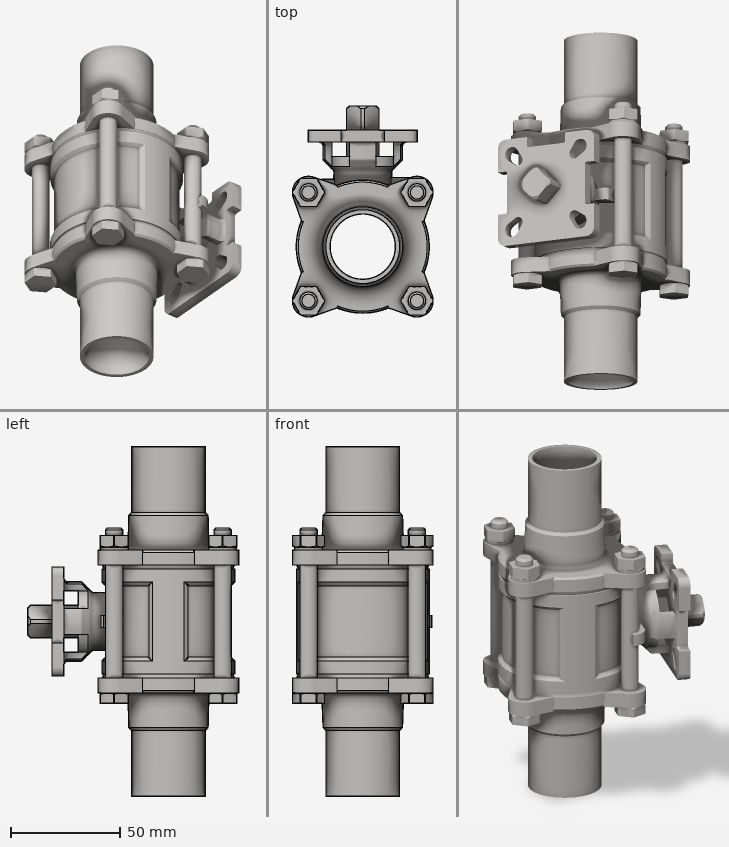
import cadquery as cq
import math


length = 160.0
flange_width = 64.5
total_depth = 96.6

bore_dia = 29.8
pipe_dia = 33.8
hub_end_radius = 18.2
hub_root_radius = 18.7
hub_end_z = 50.0
hub_chamfer = 1.5
hub_fillet = 2.0

flange_inner_z = 25.8
flange_outer_z = 32.6
flange_radius = 61.0 / 2
flange_chamfer = 1.0
lobe_offset = 24.8
lobe_radius = flange_width / 2 - lobe_offset
waist_half_width = 11.8

body_radius = flange_radius
body_half_height = 24.0
collar_end_radius = 29.6
collar_root_radius = 30.2
pocket_depth = 1.8
pocket_half_height = 18.0
rib_half_width = 7.2

bolt_dia = 8.0
bolt_tip_z = 42.9
bolt_tip_chamfer = 1.0
washer_dia = 13.0
washer_thickness = 1.3
hex_flats = 13.0
hex_turned_dia = 14.7
nut_height = 5.5
head_height = 4.8
hex_chamfer_height = 0.6
hex_chamfer_width = 1.3

neck_radius = 13.3
neck_top = 34.7
neck_fillet = 1.5
shoulder_fillet = 1.3
bracket_radius = 18.2
gland_radius = 30.5 / 2
gland_top = 41.3
arm_width = 12.0
arm_fillet = 2.0

plate_bottom = 47.8
plate_top = 53.3
plate_width = 50.0
plate_corner_radius = 4.0
notch_half_width = 10.0
notch_depth = 4.8
notch_fillet = 1.0
slot_inner_radius = 20.6
slot_inner_dia = 5.0
slot_outer_radius = 25.0
slot_outer_dia = 6.9

stem_tip = total_depth - flange_width / 2
stem_flats = 11.8
stem_dia = 15.0
stem_chamfer = 1.3

finger_half_height = 2.7
finger_tip_radius = 6.9
short_finger_reach = 19.8
short_finger_base = 16.0
short_finger_top = 30.9
short_finger_chamfer = 1.3


def cylinder(radius, z_low, z_high):
    """Upright cylinder on the pipe axis."""
    return cq.Workplane("XY").workplane(offset=z_low).circle(radius).extrude(z_high - z_low)


def both_ends(shape):
    """A shape together with its mirror image below the mid-plane."""
    return shape.union(shape.mirror("XY"))


def stem_workplane(y_low, y_high):
    """Workplane square to the stem axis at y_low, and the height from there to y_high."""
    plane = cq.Plane(origin=(0, y_low, 0), xDir=(1, 0, 0), normal=(0, 1, 0))
    return cq.Workplane(plane), y_high - y_low


def pipe_end():
    """Upper welding pipe with its tapered hub, filleted onto the flange."""
    pipe_radius = pipe_dia / 2
    fillet_top = flange_outer_z + hub_fillet
    fillet_edge = hub_root_radius + hub_fillet
    mid_shift = hub_fillet * (1 - math.sqrt(0.5))
    return (
        cq.Workplane("XZ")
        .moveTo(0, flange_inner_z)
        .lineTo(fillet_edge, flange_inner_z)
        .lineTo(fillet_edge, flange_outer_z)
        .threePointArc(
            (hub_root_radius + mid_shift, flange_outer_z + mid_shift),
            (hub_root_radius, fillet_top),
        )
        .lineTo(hub_end_radius, hub_end_z - hub_chamfer)
        .lineTo(pipe_radius, hub_end_z)
        .lineTo(pipe_radius, length / 2)
        .lineTo(0, length / 2)
        .close()
        .revolve(360, (0, 0, 0), (0, 1, 0))
    )


def flange():
    """Upper flange: a round disc with a tangent-sided lobe for each bolt."""
    thickness = flange_outer_z - flange_inner_z
    disc = cylinder(flange_radius, flange_inner_z, flange_outer_z).faces(">Z").chamfer(flange_chamfer)

    waist_y = math.sqrt(flange_radius**2 - waist_half_width**2)
    reach_x = lobe_offset - waist_half_width
    reach_y = lobe_offset - waist_y
    reach = math.hypot(reach_x, reach_y)
    tangent_angle = math.atan2(reach_y, reach_x) + math.asin(lobe_radius / reach)
    tangent_x = lobe_offset - lobe_radius * math.sin(tangent_angle)
    tangent_y = lobe_offset + lobe_radius * math.cos(tangent_angle)
    far = lobe_offset + lobe_radius * math.sqrt(0.5)
    lobe = (
        cq.Workplane("XY", origin=(0, 0, flange_inner_z))
        .moveTo(0, 0)
        .lineTo(waist_half_width, waist_y)
        .lineTo(tangent_x, tangent_y)
        .threePointArc((far, far), (tangent_y, tangent_x))
        .lineTo(waist_y, waist_half_width)
        .close()
        .extrude(thickness)
    )
    for quarter in range(4):
        disc = disc.union(lobe.rotate((0, 0, 0), (0, 0, 1), 90 * quarter))
    return disc


def collar():
    """Conical spigot between the body and the upper flange."""
    return (
        cq.Workplane("XZ")
        .moveTo(0, pocket_half_height)
        .lineTo(body_radius - 2 * pocket_depth, pocket_half_height)
        .lineTo(collar_end_radius, body_half_height - pocket_depth)
        .lineTo(collar_end_radius, body_half_height)
        .lineTo(collar_root_radius, flange_inner_z)
        .lineTo(0, flange_inner_z)
        .close()
        .revolve(360, (0, 0, 0), (0, 1, 0))
    )


def body():
    """Round body with bevelled pockets on the +Y and -Y sides."""
    floor_half_height = pocket_half_height - pocket_depth
    ring = (
        cq.Workplane("XZ")
        .moveTo(body_radius - pocket_depth, -floor_half_height)
        .lineTo(body_radius, -pocket_half_height)
        .lineTo(body_radius + pocket_depth, -pocket_half_height)
        .lineTo(body_radius + pocket_depth, pocket_half_height)
        .lineTo(body_radius, pocket_half_height)
        .lineTo(body_radius - pocket_depth, floor_half_height)
        .close()
        .revolve(360, (0, 0, 0), (0, 1, 0))
    )
    outer_x = math.sqrt(body_radius**2 - rib_half_width**2)
    inner_x = outer_x - pocket_depth
    inner_y = rib_half_width + pocket_depth
    past = body_radius + 2 * pocket_depth
    rib = (
        cq.Workplane("XY", origin=(0, 0, -pocket_half_height))
        .polyline([
            (inner_x, -inner_y),
            (outer_x, -rib_half_width),
            (past, -rib_half_width),
            (past, rib_half_width),
            (outer_x, rib_half_width),
            (inner_x, inner_y),
        ])
        .close()
        .extrude(2 * pocket_half_height)
    )
    pockets = ring.cut(rib).cut(rib.mirror("YZ"))
    return cylinder(body_radius, -body_half_height, body_half_height).cut(pockets)


def hexagon(z_low, z_high):
    """Hexagonal prism with its corners turned down at the lower face."""
    corner_radius = hex_flats / math.sqrt(3)
    height = z_high - z_low
    prism = cq.Workplane("XY", origin=(0, 0, z_low)).polygon(6, 2 * corner_radius).extrude(height)
    turned = (
        cq.Workplane("XY", origin=(0, 0, z_low))
        .circle(hex_turned_dia / 2)
        .extrude(height)
        .faces("<Z")
        .chamfer(hex_chamfer_height, hex_chamfer_width)
    )
    return prism.intersect(turned)


def tie_bolt():
    """Bolt with its head below, and a washer and nut above."""
    washer_top = flange_outer_z + washer_thickness
    shank = cylinder(bolt_dia / 2, -flange_outer_z, bolt_tip_z).faces(">Z").chamfer(bolt_tip_chamfer)
    head = hexagon(flange_outer_z, flange_outer_z + head_height).mirror("XY")
    washer = cylinder(washer_dia / 2, flange_outer_z, washer_top)
    nut = hexagon(washer_top, washer_top + nut_height)
    return shank.union(head).union(washer).union(nut)


def bracket():
    """Neck flaring into a cup whose wall is cut down to four arms around the gland."""
    cone_top = neck_top + bracket_radius - neck_radius
    mid_shift = arm_fillet * (1 - math.sqrt(0.5))
    cup = (
        cq.Workplane("XY")
        .lineTo(neck_radius, 0)
        .lineTo(neck_radius, neck_top)
        .lineTo(bracket_radius, cone_top)
        .lineTo(bracket_radius, plate_bottom - arm_fillet)
        .threePointArc(
            (bracket_radius + mid_shift, plate_bottom - mid_shift),
            (bracket_radius + arm_fillet, plate_bottom),
        )
        .lineTo(0, plate_bottom)
        .close()
        .revolve(360, (0, 0, 0), (0, 1, 0))
    )
    neck_edge = cq.selectors.NearestToPointSelector((0, neck_top, 0))
    shoulder_edge = cq.selectors.NearestToPointSelector((0, cone_top, 0))
    cup = cup.edges("%CIRCLE").edges(neck_edge).fillet(neck_fillet)
    cup = cup.edges("%CIRCLE").edges(shoulder_edge).fillet(shoulder_fillet)
    plane, height = stem_workplane(neck_top, plate_bottom)
    arms = plane.rect(plate_width, arm_width).extrude(height)
    arms = arms.union(plane.rect(arm_width, plate_width).extrude(height))
    windows = plane.circle(plate_width).circle(gland_radius).extrude(height).cut(arms)
    plane, height = stem_workplane(gland_top, plate_bottom)
    inside = plane.circle(gland_radius).extrude(height)
    return cup.cut(windows).cut(inside)


def mounting_plate():
    """Square actuator plate notched on all sides but the lower one, with a diagonal slot in each corner."""
    plane, height = stem_workplane(plate_bottom, plate_top)
    plate = plane.rect(plate_width, plate_width).extrude(height).edges("|Y").fillet(plate_corner_radius)
    notch = (
        plane.center(plate_width / 2, 0)
        .rect(2 * notch_depth, 2 * notch_half_width)
        .extrude(height)
        .edges("|Y and <X")
        .fillet(notch_fillet)
    )
    inner_end = slot_inner_dia / 2
    outer_end = slot_outer_dia / 2
    lean = (outer_end - inner_end) / (slot_outer_radius - slot_inner_radius)
    rise = math.sqrt(1 - lean**2)
    slot = (
        plane.moveTo(slot_inner_radius - inner_end * lean, inner_end * rise)
        .lineTo(slot_outer_radius - outer_end * lean, outer_end * rise)
        .threePointArc(
            (slot_outer_radius + outer_end, 0),
            (slot_outer_radius - outer_end * lean, -outer_end * rise),
        )
        .lineTo(slot_inner_radius - inner_end * lean, -inner_end * rise)
        .threePointArc(
            (slot_inner_radius - inner_end, 0),
            (slot_inner_radius - inner_end * lean, inner_end * rise),
        )
        .close()
        .extrude(height)
    )
    for quarter in range(3):
        plate = plate.cut(notch.rotate((0, 0, 0), (0, 1, 0), -90 * quarter))
    for quarter in range(4):
        plate = plate.cut(slot.rotate((0, 0, 0), (0, 1, 0), 90 * quarter + 45))
    return plate


def stem():
    """Square drive stem set on its corner, with turned-down corners."""
    plane, height = stem_workplane(gland_top, stem_tip)
    square = plane.rect(stem_flats, stem_flats).extrude(height).rotate((0, 0, 0), (0, 1, 0), 45)
    turned = plane.circle(stem_dia / 2).extrude(height).faces(">Y").chamfer(stem_chamfer)
    return square.intersect(turned)


def stop_fingers():
    """Two flat fingers beside the neck: a long one round the +X bolt and a short one toward -X."""
    diagonal = lobe_offset + finger_tip_radius * math.sqrt(0.5)
    base = cq.Workplane("XY", origin=(0, 0, -finger_half_height))
    long_finger = (
        base.moveTo(0, lobe_offset)
        .lineTo(lobe_offset + finger_tip_radius, lobe_offset)
        .threePointArc((diagonal, diagonal), (lobe_offset, lobe_offset + finger_tip_radius))
        .lineTo(0, lobe_offset + finger_tip_radius)
        .close()
        .extrude(2 * finger_half_height)
    )
    short_finger = (
        base.moveTo(0, short_finger_base)
        .lineTo(-short_finger_reach, short_finger_base)
        .lineTo(-short_finger_reach, short_finger_top - short_finger_chamfer)
        .lineTo(-short_finger_reach + short_finger_chamfer, short_finger_top)
        .lineTo(0, short_finger_top)
        .close()
        .extrude(2 * finger_half_height)
    )
    return long_finger.union(short_finger)


result = body().union(both_ends(collar())).union(both_ends(flange())).union(both_ends(pipe_end()))
result = result.union(bracket()).union(stop_fingers())
for x_side in (-1, 1):
    for y_side in (-1, 1):
        result = result.union(tie_bolt().translate((x_side * lobe_offset, y_side * lobe_offset, 0)))
result = result.union(mounting_plate()).union(stem())
result = result.cut(cylinder(bore_dia / 2, -length / 2, length / 2))